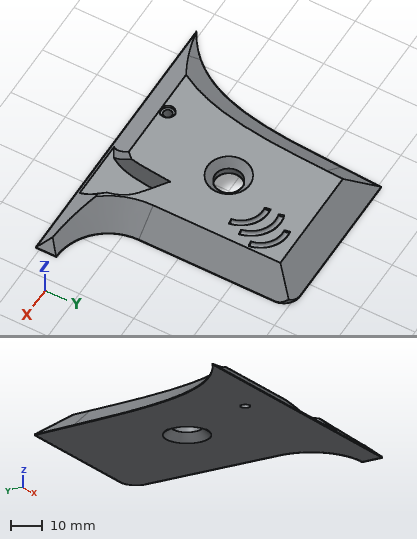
import cadquery as cq
import math

length = 101.6
depth = 82.5
thickness = 7.9
rim_height = 0.3
bevel_angle = 50.0
bevel_height = thickness - rim_height
bevel_width = bevel_height * math.tan(math.radians(bevel_angle))
margin = 30.5

left_back_x = 25.3
left_curve_back_handle = (23.0, 45.6)
left_curve_front_handle = (25.5, 14.1)

right_x = 82.5
end_face_depth = 7.5
right_arc_radius = length - right_x
right_arc_center_y = end_face_depth + right_arc_radius
corner_radius = 6.0

main_hole_center = (50.8, 41.4)
main_hole_diameter = 10.0
countersink_diameter = 15.4
countersink_angle = 90.0

small_hole_center = (38.1, 11.6)
small_hole_diameter = 3.1
counterbore_diameter = 5.0
counterbore_depth = 1.0

pocket_floor_z = 1.5
pocket_top_right = [(62.4, 26.5), (68.4, 22.4), (73.8, 17.6), (76.4, 10.6), (75.8, 1.0)]
pocket_top_left = [(55.1, 1.0), (58.3, 5.1), (61.4, 16.2), (62.4, 26.5)]
pocket_floor_right = [(63.5, 24.1), (67.6, 21.5), (72.5, 16.5), (75.2, 11.2), (74.5, 1.0)]
pocket_floor_left = [(56.1, 1.0), (59.4, 5.1), (62.5, 14.5), (63.5, 24.1)]
mouth_chamfer = 1.5

groove_radius = 0.97
short_groove = ((56.3, 58.8), (63.4, 57.0), (66.8, 51.1))
long_groove = ((56.3, 63.9), (65.0, 62.4), (68.9, 56.0))
groove_shift = (4.8, 10.0)


def left_boundary(sketch):
    """Draw the left side, run straight on past both ends along its tangents."""
    back = cq.Vector(left_back_x, depth)
    front = cq.Vector(0, 0)
    back_handle = cq.Vector(*left_curve_back_handle)
    front_handle = cq.Vector(*left_curve_front_handle)
    beyond_back = back + (back - back_handle).normalized() * margin
    beyond_front = front + (front - front_handle).normalized() * margin
    return (
        sketch.moveTo(beyond_back.x, beyond_back.y)
        .lineTo(back.x, back.y)
        .bezier([back.toTuple()[:2], left_curve_back_handle, left_curve_front_handle, (0, 0)])
        .lineTo(beyond_front.x, beyond_front.y)
    )


def right_boundary(sketch):
    """Draw the right side, run straight on past the back and the end face."""
    arc_middle_reach = right_arc_radius * math.sqrt(0.5)
    return (
        sketch.moveTo(right_x, depth + margin)
        .lineTo(right_x, right_arc_center_y)
        .threePointArc(
            (length - arc_middle_reach, right_arc_center_y - arc_middle_reach),
            (length, end_face_depth),
        )
        .lineTo(length + margin, end_face_depth)
    )


def rectangle(x_min, y_min, x_max, y_max, z):
    return (
        cq.Workplane(origin=(0, 0, z))
        .moveTo((x_min + x_max) / 2, (y_min + y_max) / 2)
        .rect(x_max - x_min, y_max - y_min)
    )


def cut_side(body, outline_at):
    """Remove a side region: straight up through the rim, then spreading inward as a bevel."""
    below = outline_at(0).extrude(rim_height)
    bevel = outline_at(rim_height).extrude(bevel_height, taper=-bevel_angle)
    return body.cut(below).cut(bevel)


def left_region(z):
    sketch = left_boundary(cq.Workplane(origin=(0, 0, z)))
    return sketch.lineTo(-2 * margin, -margin).lineTo(-2 * margin, depth + margin).close()


def right_region(z):
    sketch = right_boundary(cq.Workplane(origin=(0, 0, z)))
    return sketch.lineTo(length + margin, depth + margin).close()


def front_region(z):
    return rectangle(-margin, -margin, length + margin, 0, z)


def back_region(z):
    return rectangle(-margin, depth, length + margin, depth + margin, z)


def end_region(z):
    return rectangle(length, -margin, length + margin, depth, z)


def make_plate():
    plate = cq.Workplane().box(length, depth, thickness, centered=False)
    for region in (left_region, right_region, front_region, back_region, end_region):
        plate = cut_side(plate, region)
    return plate


def round_back_corner(body):
    corner = rectangle(right_x - corner_radius, depth - corner_radius, right_x, depth, 0).extrude(thickness)
    post = (
        cq.Workplane()
        .center(right_x - corner_radius, depth - corner_radius)
        .circle(corner_radius)
        .extrude(thickness)
    )
    return body.cut(corner.cut(post))


def pocket_outline(z, right_side, left_side):
    sketch = cq.Workplane(origin=(0, 0, z)).spline(right_side).lineTo(*left_side[0])
    return sketch.spline(left_side[1:], includeCurrent=True).wire().val()


def cut_pocket(body):
    floor = pocket_outline(pocket_floor_z, pocket_floor_right, pocket_floor_left)
    top = pocket_outline(thickness, pocket_top_right, pocket_top_left)
    return body.cut(cq.Workplane(cq.Solid.makeLoft([floor, top], True)))


def chamfer_pocket_mouth(body):
    """Chamfer the two edges where the pocket walls meet the front bevel."""
    mouth = cq.selectors.BoxSelector(
        (pocket_top_left[0][0], 0, pocket_floor_z),
        (pocket_top_right[-1][0] + mouth_chamfer, bevel_width, thickness),
    )
    edges = body.edges(mouth).filter(lambda e: e.BoundingBox().zlen > thickness / 2)
    return edges.chamfer(mouth_chamfer)


def drill_holes(body):
    top = body.faces(">Z").workplane(origin=(0, 0, thickness))
    body = top.pushPoints([main_hole_center]).cskHole(
        main_hole_diameter, countersink_diameter, countersink_angle
    )
    bottom = body.faces("<Z").workplane(origin=(0, 0, 0))
    main_hole_below = (main_hole_center[0], -main_hole_center[1])
    body = bottom.pushPoints([main_hole_below]).cskHole(
        main_hole_diameter, countersink_diameter, countersink_angle
    )
    top = body.faces(">Z").workplane(origin=(0, 0, thickness))
    return top.pushPoints([small_hole_center]).cboreHole(
        small_hole_diameter, counterbore_diameter, counterbore_depth
    )


def cut_groove(body, points, shift=(0, 0)):
    path = (
        cq.Workplane(origin=(shift[0], shift[1], thickness))
        .moveTo(*points[0])
        .threePointArc(points[1], points[2])
    )
    start = path.val().startPoint()
    section = cq.Workplane(cq.Plane(start, normal=path.val().tangentAt(0))).circle(groove_radius)
    return body.cut(section.sweep(path))


result = round_back_corner(make_plate())
result = cut_pocket(result)
result = chamfer_pocket_mouth(result)
result = drill_holes(result)
result = cut_groove(result, short_groove)
result = cut_groove(result, short_groove, groove_shift)
result = cut_groove(result, long_groove)